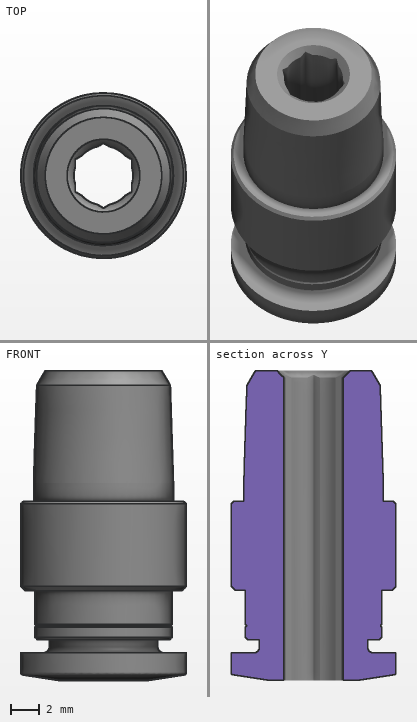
import cadquery as cq
import math

flange_dia = 11.8
bottom_flat_dia = 6.35
neck_dia = 7.75
body_dia = 9.8
groove_dia = 9.6
head_dia = 10.0
taper_top_dia = 9.55
top_face_dia = 8.3

total_height = 22.1
dish_height = 0.42
flange_top = 2
body_bottom = 2.9
groove_bottom = 3.8
groove_top = 4.02
sleeve_bottom = 6.4
sleeve_top = 12.8
taper_bottom = 14.1
taper_top = 21.05

flange_edge_radius = 0.2
neck_fillet = 0.4
body_chamfer = 0.2
sleeve_lower_chamfer = 0.3
sleeve_upper_chamfer = 0.2

hex_across_flats = 4.0
bore_dia = 4.2
countersink_dia = 5.2
countersink_angle = 90


def turned_body():
    """Revolve the outer half profile about Z."""
    flange_r = flange_dia / 2
    neck_r = neck_dia / 2
    body_r = body_dia / 2
    groove_middle = (groove_bottom + groove_top) / 2
    fillet_mid = neck_fillet * (1 - math.sqrt(0.5))
    profile = (
        cq.Workplane("XZ")
        .lineTo(bottom_flat_dia / 2, 0)
        .lineTo(flange_r, dish_height)
        .lineTo(flange_r, flange_top)
        .lineTo(neck_r + neck_fillet, flange_top)
        .threePointArc(
            (neck_r + fillet_mid, flange_top + fillet_mid),
            (neck_r, flange_top + neck_fillet),
        )
        .lineTo(neck_r, body_bottom)
        .lineTo(body_r - body_chamfer, body_bottom)
        .lineTo(body_r, body_bottom + body_chamfer)
        .lineTo(body_r, groove_bottom)
        .lineTo(groove_dia / 2, groove_middle)
        .lineTo(body_r, groove_top)
        .lineTo(body_r, sleeve_bottom)
        .lineTo(flange_r - sleeve_lower_chamfer, sleeve_bottom)
        .lineTo(flange_r, sleeve_bottom + sleeve_lower_chamfer)
        .lineTo(flange_r, sleeve_top - sleeve_upper_chamfer)
        .lineTo(flange_r - sleeve_upper_chamfer, sleeve_top)
        .lineTo(head_dia / 2, sleeve_top)
        .lineTo(head_dia / 2, taper_bottom)
        .lineTo(taper_top_dia / 2, taper_top)
        .lineTo(top_face_dia / 2, total_height)
        .lineTo(0, total_height)
        .close()
    )
    body = profile.revolve(360, (0, 0), (0, 1))
    rim_margin = 0.02
    flange_rim = cq.selectors.BoxSelector(
        (-flange_dia, -flange_dia, dish_height - rim_margin),
        (flange_dia, flange_dia, dish_height + rim_margin),
    )
    return body.edges(flange_rim).edges("%CIRCLE").fillet(flange_edge_radius)


def drive_hole():
    """Through hexagon with corners on Y, relieved by a bore and countersunk at the top."""
    across_corners = hex_across_flats / math.cos(math.pi / 6)
    hexagon = (
        cq.Workplane("XY")
        .transformed(rotate=(0, 0, 90))
        .polygon(6, across_corners)
        .extrude(total_height)
    )
    bore = cq.Workplane("XY").circle(bore_dia / 2).extrude(total_height)
    cone_height = countersink_dia / 2 / math.tan(math.radians(countersink_angle / 2))
    countersink = cq.Workplane(
        cq.Solid.makeCone(
            0, countersink_dia / 2, cone_height, pnt=cq.Vector(0, 0, total_height - cone_height)
        )
    )
    return hexagon.union(bore).union(countersink)


result = turned_body().cut(drive_hole())